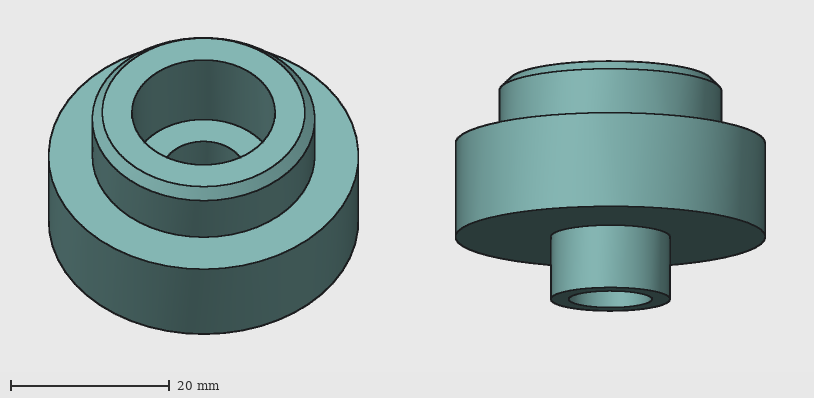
import cadquery as cq

flange_diameter = 39.0
flange_height = 12.0
collar_diameter = 28.0
collar_height = 8.0
collar_chamfer = 1.25
stub_diameter = 15.0
stub_height = 8.0
bore_diameter = 18.0
bore_depth = 11.0
through_hole_diameter = 10.5

flange_bottom = stub_height
flange_top = flange_bottom + flange_height
collar_top = flange_top + collar_height


def cylinder(diameter, bottom, top):
    """Upright cylinder on the Z axis between two levels."""
    return cq.Workplane("XY").workplane(offset=bottom).circle(diameter / 2).extrude(top - bottom)


stub = cylinder(stub_diameter, 0, flange_bottom)
flange = cylinder(flange_diameter, flange_bottom, flange_top)
collar = cylinder(collar_diameter, flange_top, collar_top).faces(">Z").edges().chamfer(collar_chamfer)
body = stub.union(flange).union(collar)

bore = cylinder(bore_diameter, collar_top - bore_depth, collar_top)
through_hole = cylinder(through_hole_diameter, 0, collar_top)

result = body.cut(bore).cut(through_hole)